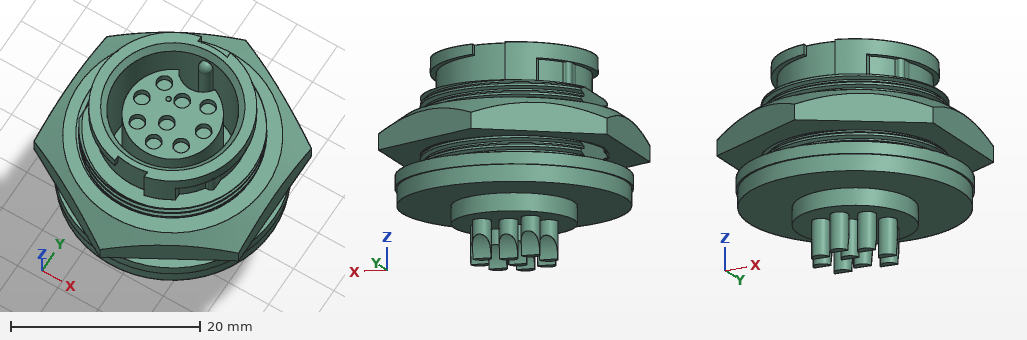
import cadquery as cq
import math


flange_radius = 12.61
flange_thickness = 1.33
gasket_radius = 12.42
gasket_thickness = 1.86
rear_boss_radius = 6.67
rear_boss_height = 1.95
contact_length = 4.08
contact_radius = 1.0
solder_cup_length = 2.41
gasket_bottom = -flange_thickness - gasket_thickness
rear_boss_bottom = gasket_bottom - rear_boss_height
contact_bottom = rear_boss_bottom - contact_length

contact_ring_radius = 3.83
contact_step_angle = 45
key_angle = 90
inner_contact_ys = (1.90, -1.18)

thread_pitch = 0.94
thread_crest_radius = 9.94
thread_root_radius = 9.51
thread_crest_width = 0.25
thread_length = 8.41
thread_crest_below_top = 0.873
flank_slope = math.tan(math.radians(30))

collar_radius = 8.88
neck_radius = 8.25
lip_height = 1.69
neck_height = 2.57
lip_bottom = thread_length + neck_height
collar_top = lip_bottom + lip_height
barrel_flat_x = -collar_radius

notch_half_width = 1.81
stop_x = 4.89
ramp_start_angle = 180
ramp_rise = 0.57
detent_face_x = 7.73
detent_inner_y = 2.0
detent_outer_y = 4.54
detent_rounding = 0.5

bore_radius = 6.96
bore_chamfer = 0.66
bore_floor = 0
insert_radius = 5.36
insert_top = collar_top - 1.75
socket_radius = 0.87
socket_depth = 0.88
keyway_radius = 2.58
keyway_center_y = 6.12
key_pin_radius = 0.78
key_pin_y = 6.62
key_pin_dome_z = collar_top - 1.8
dimple_radius = 0.28
dimple_offset = 1.34

nut_across_flats = 25.4
nut_height = 3.9
nut_bottom = 2.21
nut_face_radius = 11.62
nut_chamfer_slope = 0.71
nut_crest_radius = 9.84
nut_root_radius = 10.29
nut_crest_width = 0.30
nut_top = nut_bottom + nut_height
nut_corner_radius = nut_across_flats / math.sqrt(3)

thread_overlap = 0.05
margin = 0.5


def cylinder(radius, bottom, top, center=(0, 0)):
    return cq.Workplane("XY", origin=(*center, bottom)).circle(radius).extrude(top - bottom)


def tube(outer_radius, inner_radius, bottom, top):
    return cylinder(outer_radius, bottom, top).cut(cylinder(inner_radius, bottom, top))


def box(x_range, y_range, z_range):
    sizes = [high - low for low, high in (x_range, y_range, z_range)]
    lowest_corner = (x_range[0], y_range[0], z_range[0])
    return cq.Workplane("XY").box(*sizes, centered=False).translate(lowest_corner)


def half_turn(shape):
    return shape.rotate((0, 0, 0), (0, 0, 1), 180)


def helical_ridge(profile, pitch, height, start_z):
    """Closed (radius, height) profile carried up a right-hand helix from start_z on the +X side."""
    path = cq.Workplane(cq.Wire.makeHelix(pitch, height, profile[0][0]))
    ridge = cq.Workplane("XZ").polyline(profile).close().sweep(path, isFrenet=True)
    return ridge.translate((0, 0, start_z))


def thread_profile(tip_radius, tip_width, base_radius):
    """Trapezium that is narrow at the tip and widens along the flanks to the base."""
    tip_half = tip_width / 2
    base_half = tip_half + abs(base_radius - tip_radius) * flank_slope
    return [
        (tip_radius, -tip_half),
        (base_radius, -base_half),
        (base_radius, base_half),
        (tip_radius, tip_half),
    ]


crest_z = thread_length - thread_crest_below_top
lowest_crest_z = crest_z - math.ceil(crest_z / thread_pitch + 1) * thread_pitch


def thread_ridge(tip_radius, tip_width, base_radius, start_z, bottom, top):
    """Helical thread ridge from start_z upward, trimmed to the heights from bottom to top."""
    profile = thread_profile(tip_radius, tip_width, base_radius)
    ridge = helical_ridge(profile, thread_pitch, top - start_z + thread_pitch, start_z)
    reach = max(tip_radius, base_radius) + margin
    return ridge.intersect(box((-reach, reach), (-reach, reach), (bottom, top)))


def threaded_barrel():
    core = cylinder(thread_root_radius, 0, thread_length)
    ridge = thread_ridge(
        thread_crest_radius,
        thread_crest_width,
        thread_root_radius - thread_overlap,
        lowest_crest_z,
        0,
        thread_length,
    )
    reach = thread_crest_radius + margin
    flat_cut = box((-reach, barrel_flat_x), (-reach, reach), (0, thread_length))
    return core.union(ridge).cut(flat_cut)


def stop_and_detent():
    """Material left standing in the track near the -X, +Y side: the end stop and the detent rib."""
    stop = box((-stop_x, -notch_half_width), (0, collar_radius), (thread_length, lip_bottom))
    detent = box(
        (-detent_face_x, -stop_x), (detent_inner_y, detent_outer_y), (thread_length, lip_bottom)
    )
    return stop.union(detent.edges("|Z and <X and >Y").fillet(detent_rounding))


def track_ramp():
    """Space above the track where the lip's underside rises from the -X side to the -Y notch."""
    notch_angle = math.degrees(math.acos(notch_half_width / collar_radius))
    outer = collar_radius + margin
    inner = neck_radius - margin
    profile = [(inner, -ramp_rise), (outer, -ramp_rise), (outer, 0), (inner, 0)]
    ramp = helical_ridge(profile, ramp_rise * 360 / notch_angle, ramp_rise, lip_bottom)
    ramp = ramp.rotate((0, 0, 0), (0, 0, 1), ramp_start_angle)
    return ramp.intersect(tube(outer, neck_radius, thread_length, collar_top))


def collar():
    """Round collar with two entry notches, each leading into a ramped bayonet track."""
    body = cylinder(collar_radius, thread_length, collar_top)
    keep = stop_and_detent()
    outer = collar_radius + margin
    track = tube(outer, neck_radius, thread_length, lip_bottom).cut(keep).cut(half_turn(keep))
    notches = tube(outer, neck_radius, thread_length, collar_top).intersect(
        box((-notch_half_width, notch_half_width), (-outer, outer), (thread_length, collar_top))
    )
    ramp = track_ramp()
    return body.cut(track).cut(notches).cut(ramp).cut(half_turn(ramp))


def contact_positions():
    ring = []
    for index in range(1, 360 // contact_step_angle):
        angle = math.radians(key_angle + index * contact_step_angle)
        ring.append((contact_ring_radius * math.cos(angle), contact_ring_radius * math.sin(angle)))
    return ring + [(0, y) for y in inner_contact_ys]


def contact(x, y):
    """Contact tail whose +Y half is scooped away by an arc that reaches the axis at the tip."""
    tail = cylinder(contact_radius, contact_bottom, rear_boss_bottom, (x, y))
    scoop_radius = (solder_cup_length**2 + contact_radius**2) / (2 * contact_radius)
    scoop = (
        cq.Workplane("YZ", origin=(x - contact_radius - margin, y + scoop_radius, contact_bottom))
        .circle(scoop_radius)
        .extrude(2 * contact_radius + 2 * margin)
    )
    return tail.cut(scoop)


def socket_bore():
    bore = cylinder(bore_radius, bore_floor, collar_top)
    return bore.faces(">Z").workplane().circle(bore_radius + bore_chamfer).workplane(
        offset=-bore_chamfer
    ).circle(bore_radius).loft(combine=True)


def insert():
    """Round contact carrier standing in the bore, with keyway, sockets and a position dimple."""
    body = cylinder(insert_radius, bore_floor, insert_top)
    body = body.cut(cylinder(keyway_radius, bore_floor, insert_top, (0, keyway_center_y)))
    for position in contact_positions():
        body = body.cut(cylinder(socket_radius, insert_top - socket_depth, insert_top, position))
    dimple = cq.Workplane("XY").sphere(dimple_radius)
    return body.cut(dimple.translate((-dimple_offset, dimple_offset, insert_top)))


def key_pin():
    shaft = cylinder(key_pin_radius, bore_floor, key_pin_dome_z, (0, key_pin_y))
    dome = cq.Workplane("XY").sphere(key_pin_radius).translate((0, key_pin_y, key_pin_dome_z))
    return shaft.union(dome)


def make_connector():
    body = cylinder(flange_radius, -flange_thickness, 0)
    body = body.union(cylinder(gasket_radius, gasket_bottom, -flange_thickness))
    body = body.union(cylinder(rear_boss_radius, rear_boss_bottom, gasket_bottom))
    body = body.union(threaded_barrel()).union(collar()).cut(socket_bore())
    body = body.union(insert()).union(key_pin())
    for x, y in contact_positions():
        body = body.union(contact(x, y))
    return body


def make_nut():
    """Hexagon nut with corners on the Y axis, a conical top chamfer and an internal thread."""
    hexagon = (
        cq.Workplane("XY", origin=(0, 0, nut_bottom))
        .polygon(6, 2 * nut_corner_radius)
        .extrude(nut_height)
        .rotate((0, 0, 0), (0, 0, 1), 90)
    )
    rim_radius = nut_corner_radius + margin
    rim_z = nut_top - (rim_radius - nut_face_radius) * nut_chamfer_slope
    envelope = (
        cq.Workplane("XZ")
        .polyline([(0, nut_bottom), (rim_radius, nut_bottom), (rim_radius, rim_z),
                   (nut_face_radius, nut_top), (0, nut_top)])
        .close()
        .revolve(360, (0, 0), (0, 1))
    )
    ridge = thread_ridge(
        nut_crest_radius,
        nut_crest_width,
        nut_root_radius + thread_overlap,
        lowest_crest_z - thread_pitch / 2,
        nut_bottom,
        nut_top,
    )
    bore = cylinder(nut_root_radius, nut_bottom, nut_top)
    return hexagon.intersect(envelope).cut(bore).union(ridge)


connector = make_connector()
nut = make_nut()
result = cq.Compound.makeCompound([connector.val(), nut.val()])